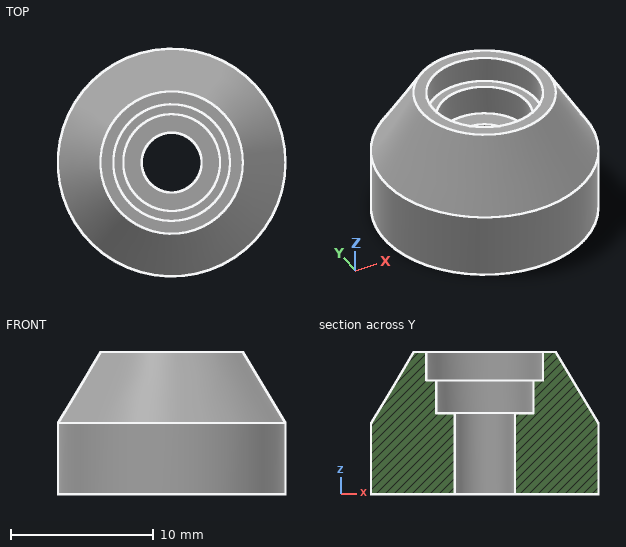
import cadquery as cq

base_diameter = 16
top_diameter = 10.0
total_height = 10.0
base_height = total_height / 2

upper_bore_diameter = 8.2
upper_bore_depth = 2.0
lower_bore_diameter = 6.8
lower_bore_depth = 2.3
through_hole_diameter = 4.2

upper_floor = total_height - upper_bore_depth
lower_floor = upper_floor - lower_bore_depth

half_section = (
    cq.Workplane("XZ")
    .moveTo(through_hole_diameter / 2, 0)
    .lineTo(base_diameter / 2, 0)
    .lineTo(base_diameter / 2, base_height)
    .lineTo(top_diameter / 2, total_height)
    .lineTo(upper_bore_diameter / 2, total_height)
    .lineTo(upper_bore_diameter / 2, upper_floor)
    .lineTo(lower_bore_diameter / 2, upper_floor)
    .lineTo(lower_bore_diameter / 2, lower_floor)
    .lineTo(through_hole_diameter / 2, lower_floor)
    .close()
)

result = half_section.revolve(360, (0, 0, 0), (0, 1, 0))